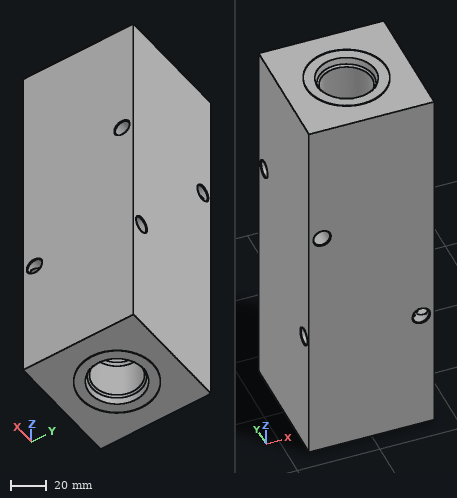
import cadquery as cq

length = 235.0
side = 76.1

bore_diameter = 28.0
spotface_diameter = 48.9
spotface_depth = 0.5
mouth_diameter = 35.7
seat_diameter = 33.4
thread_diameter = 31.0
mouth_depth = 3.8
thread_depth = 28.2

bolt_diameter = 9.9
bolt_mouth_diameter = 10.8
bolt_offset = 30.0
bolt_height = 38.0


def port_cutter():
    """Spotface, tapered mouth and thread bore in the top face, with 45 degree transitions."""
    top = length / 2
    floor = top - spotface_depth
    seat = floor - mouth_depth
    thread_end = floor - thread_depth
    seat_chamfer = (seat_diameter - thread_diameter) / 2
    end_chamfer = (thread_diameter - bore_diameter) / 2
    profile = [
        (0, top),
        (spotface_diameter / 2, top),
        (spotface_diameter / 2, floor),
        (mouth_diameter / 2, floor),
        (seat_diameter / 2, seat),
        (thread_diameter / 2, seat - seat_chamfer),
        (thread_diameter / 2, thread_end),
        (bore_diameter / 2, thread_end - end_chamfer),
        (0, thread_end - end_chamfer),
    ]
    return cq.Workplane("YZ").polyline(profile).close().revolve(360, (0, 0, 0), (0, 1, 0))


def bolt_hole():
    """Through hole along Y at the origin, chamfered at both mouths."""
    chamfer = (bolt_mouth_diameter - bolt_diameter) / 2
    half = side / 2
    profile = [
        (0, -half),
        (bolt_mouth_diameter / 2, -half),
        (bolt_diameter / 2, chamfer - half),
        (bolt_diameter / 2, half - chamfer),
        (bolt_mouth_diameter / 2, half),
        (0, half),
    ]
    return cq.Workplane("XY").polyline(profile).close().revolve(360, (0, 0, 0), (0, 1, 0))


block = cq.Workplane("XY").box(side, side, length)
bore = cq.Workplane("XY").circle(bore_diameter / 2).extrude(length / 2, both=True)
result = block.cut(bore)

top_port = port_cutter()
result = result.cut(top_port).cut(top_port.mirror("XY"))

for end in (1, -1):
    along_y = bolt_hole().translate((-end * bolt_offset, 0, end * bolt_height))
    along_x = along_y.rotate((0, 0, 0), (0, 0, 1), -90)
    result = result.cut(along_y).cut(along_x)